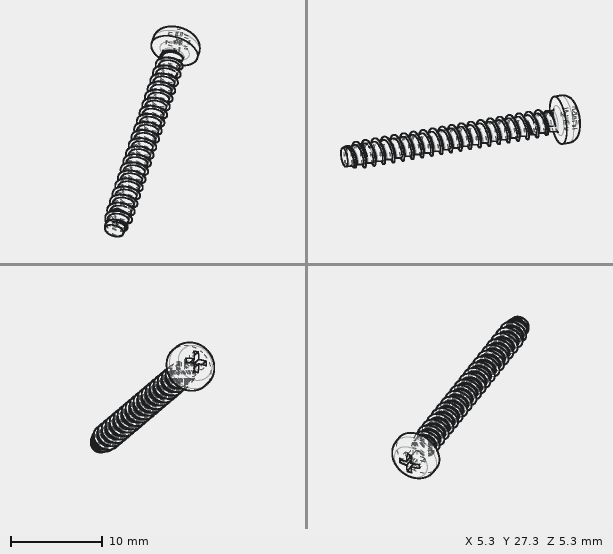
import cadquery as cq
import math


total_length = 27.27
shank_length = 25.03

head_radius = 2.65
rim_height = 0.8
dome_radius = 4.64

recess_width = 0.52
recess_reach = 1.2
recess_depth = 1.5

neck_radius = 1.17
neck_fillet = 0.5
neck_length = 0.74
neck_taper_end = 1.28

core_diameter = 2.1
core_radius = core_diameter / 2
thread_radius = 1.5
full_thread_start = 2.05
full_thread_turns = 19
full_thread_length = 21.33
fading_turns = 3
pitch = full_thread_length / full_thread_turns
crest_half_width = 0.022
flank_half_width = 0.14
flank_foot_radius = 1.15
tip_foot_reach = 0.82
head_foot_reach = 0.27
root_overlap = 0.014
crest_clearance = 0.14

recess_corner_radius = recess_width / math.sqrt(2)
corner_sagitta = dome_radius - math.sqrt(dome_radius**2 - recess_corner_radius**2)
apex_height = total_length - shank_length + corner_sagitta


def arc_point(center, radius, angle):
    """Point on an arc in the R-Z half plane; the angle is measured from +R."""
    return (center[0] + radius * math.cos(angle), center[1] + radius * math.sin(angle))


def make_head_and_neck():
    """Head, under-head fillet and tapered neck as one revolved profile."""
    dome_center = (0, apex_height - dome_radius)

    rise = rim_height - dome_center[1]
    shoulder_radius = (dome_radius**2 - rise**2 - head_radius**2) / (2 * (dome_radius - head_radius))
    shoulder_center = (head_radius - shoulder_radius, rim_height)
    joint_angle = math.atan2(rise, shoulder_center[0])
    dome_mid_angle = (joint_angle + math.pi / 2) / 2

    fillet_center = (neck_radius + neck_fillet, -neck_fillet)
    fillet_mid_angle = 3 * math.pi / 4

    profile = (
        cq.Workplane("XZ")
        .moveTo(0, -neck_taper_end)
        .lineTo(core_radius, -neck_taper_end)
        .lineTo(neck_radius, -neck_length)
        .lineTo(neck_radius, -neck_fillet)
        .threePointArc(
            arc_point(fillet_center, neck_fillet, fillet_mid_angle),
            (neck_radius + neck_fillet, 0),
        )
        .lineTo(head_radius, 0)
        .lineTo(head_radius, rim_height)
        .threePointArc(
            arc_point(shoulder_center, shoulder_radius, joint_angle / 2),
            arc_point(shoulder_center, shoulder_radius, joint_angle),
        )
        .threePointArc(
            arc_point(dome_center, dome_radius, dome_mid_angle),
            (0, apex_height),
        )
        .close()
    )
    return profile.revolve(360, (0, 0, 0), (0, 1, 0))


def make_core():
    """Plain cylinder that carries the thread, running from the head to the tip."""
    return cq.Workplane("XY").circle(core_radius).extrude(-shank_length)


def make_thread():
    """Right-hand ridge whose height fades out at both ends."""
    helix_turns = full_thread_turns + fading_turns
    helix_top = pitch / 4 - full_thread_start + pitch
    helix_bottom = helix_top - helix_turns * pitch
    root_radius = core_radius - root_overlap

    path = cq.Wire.makeHelix(
        pitch, helix_turns * pitch, core_radius, cq.Vector(0, 0, helix_bottom)
    )
    ridge = (
        cq.Workplane("XZ", origin=(0, 0, helix_bottom))
        .polyline(
            [
                (root_radius, -tip_foot_reach),
                (flank_foot_radius, -flank_half_width),
                (thread_radius, -crest_half_width),
                (thread_radius, crest_half_width),
                (flank_foot_radius, flank_half_width),
                (root_radius, head_foot_reach),
            ]
        )
        .close()
        .sweep(cq.Workplane(path), isFrenet=True)
    )

    full_thread_end = full_thread_start + full_thread_length
    start_slope = (full_thread_start - neck_length) / (thread_radius - neck_radius)
    end_slope = (shank_length - full_thread_end) / (thread_radius - core_radius)
    clear_radius = thread_radius + crest_clearance
    clear_start = full_thread_start + start_slope * crest_clearance
    clear_end = full_thread_end - end_slope * crest_clearance
    envelope = (
        cq.Workplane("XZ")
        .polyline(
            [
                (0, -neck_length),
                (neck_radius, -neck_length),
                (clear_radius, -clear_start),
                (clear_radius, -clear_end),
                (core_radius, -shank_length),
                (0, -shank_length),
            ]
        )
        .close()
        .revolve(360, (0, 0, 0), (0, 1, 0))
    )
    return ridge.intersect(envelope)


def make_recess():
    """Cross-shaped cutter for the driver."""
    floor = cq.Workplane("XY", origin=(0, 0, apex_height - recess_depth))
    wing = floor.rect(2 * recess_reach, recess_width).extrude(recess_depth)
    return wing.union(wing.rotate((0, 0, 0), (0, 0, 1), 90))


threaded_shank = make_core().union(make_thread())
screw = threaded_shank.union(make_head_and_neck()).cut(make_recess())
result = screw.rotate((0, 0, 0), (1, 0, 0), -90).solids()